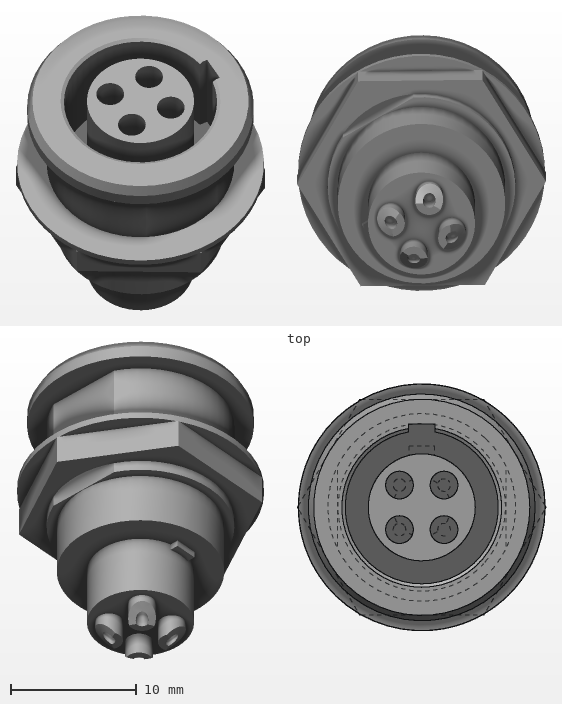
import cadquery as cq
import math


overall_length = 23.5

flange_diameter = 18.0
flange_height = 1.8
flange_chamfer_height = 0.75
flange_chamfer_width = 0.42

barrel_diameter = 14.9
barrel_flat_width = 13.4
barrel_length = 10.2

washer_diameter = 19.6
washer_thickness = 0.55
washer_top_z = -6.25
nut_across_corners = 19.74
nut_thickness = 2.5

shell_diameter = 13.3
shell_length = 4.45
neck_diameter = 8.5
neck_length = 5.15

tab_width = 2.0
tab_height = 0.54
tab_outer_y = 4.88

bore_diameter = 12.15
bore_chamfer_width = 0.27
bore_chamfer_height = 0.15
bore_depth = 8.0
keyway_width = 2.07
keyway_outer_y = 6.63

contact_circle_radius = 2.5
contact_angles = (45, 135, 225, 315)
contact_diameter = 2.2
socket_depth = 6.0
pin_length = overall_length - flange_height - barrel_length - shell_length - neck_length
tip_cone_angle = 45.0
tip_cone_radius = 2.3
tip_cone_overlap = 0.5
cup_diameter = 1.0
cup_depth = 1.5

washer_bottom_z = washer_top_z - washer_thickness
barrel_end_z = -barrel_length
shell_end_z = barrel_end_z - shell_length
neck_end_z = shell_end_z - neck_length
pin_end_z = neck_end_z - pin_length


def cylinder(diameter, bottom_z, height):
    return cq.Workplane("XY").workplane(offset=bottom_z).circle(diameter / 2).extrude(height)


def make_flange():
    flange = cylinder(flange_diameter, 0, flange_height)
    return flange.faces(">Z").chamfer(flange_chamfer_height, flange_chamfer_width)


def make_barrel():
    flats = cq.Workplane("XY").rect(barrel_flat_width, barrel_diameter).extrude(-barrel_length)
    return cylinder(barrel_diameter, barrel_end_z, barrel_length).intersect(flats)


def make_nut():
    """Nut with a round bore, which stays open beside the two barrel flats."""
    washer = cylinder(washer_diameter, washer_bottom_z, washer_thickness)
    hexagon = cq.Workplane("XY").workplane(offset=washer_bottom_z).polygon(6, nut_across_corners)
    nut = washer.union(hexagon.extrude(-nut_thickness))
    bore_height = washer_thickness + nut_thickness
    return nut.cut(cylinder(barrel_diameter, washer_top_z - bore_height, bore_height))


def make_rear():
    shell = cylinder(shell_diameter, shell_end_z, shell_length)
    neck = cylinder(neck_diameter, neck_end_z, neck_length)
    tab = (
        cq.Workplane("XY")
        .workplane(offset=shell_end_z)
        .center(0, tab_outer_y / 2)
        .rect(tab_width, tab_outer_y)
        .extrude(-tab_height)
    )
    return shell.union(neck).union(tab)


def make_bore():
    """Ring-shaped space around the insert, with its rim chamfer and keyway."""
    floor_z = flange_height - bore_depth
    bore = cylinder(bore_diameter, floor_z, bore_depth)
    rim = (
        cq.Workplane("XZ")
        .moveTo(0, flange_height)
        .lineTo(bore_diameter / 2 + bore_chamfer_width, flange_height)
        .lineTo(bore_diameter / 2, flange_height - bore_chamfer_height)
        .lineTo(0, flange_height - bore_chamfer_height)
        .close()
        .revolve(360, (0, 0, 0), (0, 1, 0))
    )
    keyway = (
        cq.Workplane("XY")
        .workplane(offset=floor_z)
        .center(0, keyway_outer_y / 2)
        .rect(keyway_width, keyway_outer_y)
        .extrude(bore_depth)
    )
    insert = cylinder(neck_diameter, floor_z, bore_depth)
    return bore.union(rim).union(keyway).cut(insert)


def make_tip_cone():
    """Cone on the connector axis that bevels the outward side of every pin tip."""
    cone_height = pin_length + tip_cone_overlap
    top_radius = tip_cone_radius + cone_height / math.tan(math.radians(tip_cone_angle))
    return (
        cq.Workplane("XZ")
        .moveTo(0, pin_end_z)
        .lineTo(tip_cone_radius, pin_end_z)
        .lineTo(top_radius, pin_end_z + cone_height)
        .lineTo(0, pin_end_z + cone_height)
        .close()
        .revolve(360, (0, 0, 0), (0, 1, 0))
    )


def make_pin():
    """Solder pin in its place on the +X side, with a solder cup in its bevelled tip."""
    pin = cylinder(contact_diameter, pin_end_z, pin_length)
    cup = cylinder(cup_diameter, pin_end_z, cup_depth)
    return pin.cut(cup).translate((contact_circle_radius, 0, 0)).intersect(make_tip_cone())


def make_socket():
    """Socket hole in its place on the +X side."""
    socket = cylinder(contact_diameter, flange_height - socket_depth, socket_depth)
    return socket.translate((contact_circle_radius, 0, 0))


result = make_flange().union(make_barrel()).union(make_nut()).union(make_rear())
result = result.cut(make_bore())

for angle in contact_angles:
    result = result.cut(make_socket().rotate((0, 0, 0), (0, 0, 1), angle))
    result = result.union(make_pin().rotate((0, 0, 0), (0, 0, 1), angle))